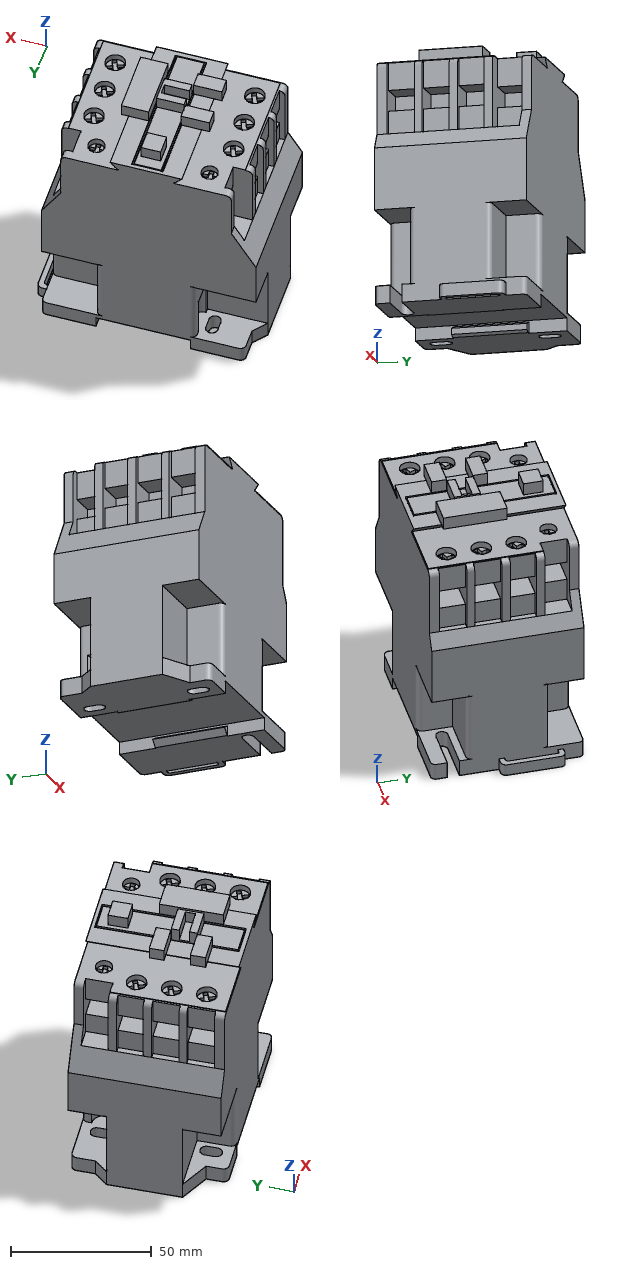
import cadquery as cq
body_width = 79.9
body_depth = 56.0
total_height = 98.0
top_z = 89.8
rim_drop = 0.3
rim_z = top_z - rim_drop
rim_front = 0.3
plate_left = 8.1
plate_right = 74.0

upper_left = 5.4
upper_right = 76.5
middle_x = (upper_left + upper_right) / 2
slope_top_z = 62.9
left_slope_z = 53.7
right_slope_z = 57.2
left_slope = (slope_top_z - left_slope_z) / upper_left
right_slope = (slope_top_z - right_slope_z) / (body_width - upper_right)
shoulder_radius = 2.2

back_rib_inset = 3.8
back_rib_front = 52.4

cell_spans = [(3.7, 13.8), (16.7, 26.7), (29.8, 39.4), (42.5, back_rib_front)]
cell_depth = 2.1
deep_cell_depth = 7.3
opening_bottom = 71.7
opening_top = 79.4
opening_depth = 9.8

main_screw_offset = 26.0
main_screw_places = [8.7, 21.6, 34.4]
main_screw_diameter = 7.3
main_screw_turn = 23
coil_screw_offset = 21.1
coil_screw_y = 47.4
coil_screw_diameter = 6.1
screw_well_depth = 2.5
cross_width = 1.7
cross_depth = 1.5
cross_share = 0.9

rail_top = 93.1
rail_half_width = 13.3
rail_neck_half_width = 10.4
panel_width = 11.6
panel_front = 1.9
panel_back = 54.5
groove_side_width = 0.7
groove_end_width = 0.4
groove_depth = 1.0
button_length = 10.6
button_left = 24.7
button_right = 46.8
long_button_length = 10.2
button_spans = [(11.5, 17.1), (26.7, 32.0)]
long_button_span = (10.2, 33.6)
bracket_width = 10.2
bracket_span = (17.1, 26.7)
bracket_wall = 2.9
bracket_back_wall = 0.9
square_button = 7.3
square_button_y = 46.5

notch_top = 34.5
notch_depth = 14.1
right_notch_depth = 12.9
foot_height = 6.6
din_left = 24.4
din_right = 59.6
din_height = 4.7
left_edge_radius = 2.0
right_edge_radius = 2.3
corner_radius = 1.9
foot_radius = 2.2
front_foot_step = 10.8
front_foot_face = 8.0
back_foot_step = 4.3
back_foot_face = 9.0
slot_width = 4.4
slot_y = 7.9
left_slot_x = 18.3
left_slot_length = 8.0
right_slot_x = 63.7
relief_diameter = 9.1
relief_top = 22.9

loop_front = 24.7
loop_back = 48.4
loop_right = 84.0
loop_bar = 2.1
loop_root = 5.9
hook_front = notch_depth
hook_back = body_depth - notch_depth

OVERCUT = 1.0


def box(x0, x1, y0, y1, z0, z1):
    """Box between pairs of opposite faces."""
    return cq.Workplane("XY").box(x1 - x0, y1 - y0, z1 - z0, centered=False).translate((x0, y0, z0))


def along_depth(profile, y0, y1):
    """Extrude a profile drawn on the XZ plane from y0 back to y1."""
    return profile.extrude(-(y1 - y0)).translate((0, y0, 0))


def to_back(solid):
    """Mirror a solid from the front half to the back half."""
    return solid.mirror("XZ").translate((0, body_depth, 0))


def to_right(solid):
    """Mirror a solid about the middle plane of the upper part."""
    return solid.mirror("YZ").translate((2 * middle_x, 0, 0))


def housing_slice(inset, shoulder_z, y0, y1):
    """Stretch of the housing whose upper sides stand inset from the outer ribs."""
    left = upper_left + inset
    right = upper_right - inset
    profile = (
        cq.Workplane("XZ")
        .moveTo(0, 0)
        .lineTo(0, left_slope_z)
        .lineTo(left, left_slope_z + left_slope * left)
        .lineTo(left, shoulder_z - shoulder_radius)
        .radiusArc((left + shoulder_radius, shoulder_z), shoulder_radius)
        .lineTo(right - shoulder_radius, shoulder_z)
        .radiusArc((right, shoulder_z - shoulder_radius), shoulder_radius)
        .lineTo(right, right_slope_z + right_slope * (body_width - right))
        .lineTo(body_width, right_slope_z)
        .lineTo(body_width, 0)
        .close()
    )
    return along_depth(profile, y0, y1)


def housing():
    """Housing with its outer ribs, the inset back ribs and the raised top plate."""
    front = housing_slice(0, rim_z, 0, back_rib_front)
    back = housing_slice(back_rib_inset, top_z, back_rib_front, body_depth)
    plate = box(plate_left, plate_right, rim_front, back_rib_front, slope_top_z, top_z)
    return front.union(back).union(plate)


def terminal_cells():
    """Cells on the left side, each with a wire opening in its wall."""
    cells = cq.Workplane("XY")
    for front, back in cell_spans:
        depth = deep_cell_depth if back == back_rib_front else cell_depth
        wall = upper_left + depth
        cells = cells.union(box(upper_left, wall, front, back, slope_top_z, top_z))
        cells = cells.union(box(upper_left, wall + opening_depth, front, back, opening_bottom, opening_top))
    return cells


def screw_well(x, y, diameter, turn):
    """Round well with a cross slot sunk in the screw head at its bottom."""
    well = cq.Workplane("XY").circle(diameter / 2).extrude(screw_well_depth + OVERCUT)
    length = diameter * cross_share
    for angle in (turn, turn + 90):
        arm = cq.Workplane("XY").rect(length, cross_width).extrude(-cross_depth)
        well = well.union(arm.rotate((0, 0, 0), (0, 0, 1), angle))
    return well.translate((x, y, top_z - screw_well_depth))


def screw_wells():
    """One coil screw and a row of main screws on each side."""
    wells = cq.Workplane("XY")
    for side in (-1, 1):
        coil_x = middle_x + side * coil_screw_offset
        wells = wells.union(screw_well(coil_x, coil_screw_y, coil_screw_diameter, 0))
        for y in main_screw_places:
            main_x = middle_x + side * main_screw_offset
            wells = wells.union(screw_well(main_x, y, main_screw_diameter, main_screw_turn))
    return wells


def dovetail_rail():
    """Dovetail rail along the top, with a narrow groove around its panel."""
    profile = cq.Workplane("XZ").polyline([
        (middle_x - rail_neck_half_width, rim_z),
        (middle_x - rail_neck_half_width, top_z),
        (middle_x - rail_half_width, rail_top),
        (middle_x + rail_half_width, rail_top),
        (middle_x + rail_neck_half_width, top_z),
        (middle_x + rail_neck_half_width, rim_z),
    ]).close()
    rail = along_depth(profile, 0, body_depth)
    panel_length = panel_back - panel_front
    groove = (
        cq.Workplane("XY", origin=(middle_x, (panel_front + panel_back) / 2, rail_top - groove_depth))
        .rect(panel_width, panel_length)
        .rect(panel_width - 2 * groove_side_width, panel_length - 2 * groove_end_width)
        .extrude(groove_depth)
    )
    return rail.cut(groove)


def button(x, length, span):
    """Raised block on the rail, starting at x and covering a span of the depth."""
    return box(x, x + length, span[0], span[1], rail_top, total_height)


def buttons():
    """Long right button, two left buttons, a square button and a slotted bracket."""
    blocks = button(button_right, long_button_length, long_button_span)
    for span in button_spans:
        blocks = blocks.union(button(button_left, button_length, span))
    half = square_button / 2
    square_span = (square_button_y - half, square_button_y + half)
    blocks = blocks.union(button(middle_x - half, square_button, square_span))
    bracket_left = middle_x - bracket_width / 2
    bracket_slot_span = (bracket_span[0] + bracket_wall, bracket_span[1] - bracket_wall)
    bracket = button(bracket_left, bracket_width, bracket_span)
    bracket = bracket.cut(button(bracket_left, bracket_width - bracket_back_wall, bracket_slot_span))
    return blocks.union(bracket)


def left_notch():
    """Front left corner notch with a rounded edge at the front face."""
    return (
        cq.Workplane("XY")
        .moveTo(0, 0)
        .lineTo(din_left, 0)
        .radiusArc((din_left - left_edge_radius, left_edge_radius), left_edge_radius)
        .lineTo(din_left - left_edge_radius, notch_depth)
        .lineTo(0, notch_depth)
        .close()
        .extrude(notch_top)
    )


def right_notch():
    """Front right corner notch; the housing edge behind it is rounded too."""
    wall = din_right
    return (
        cq.Workplane("XY")
        .moveTo(body_width, 0)
        .lineTo(wall - right_edge_radius, 0)
        .radiusArc((wall, right_edge_radius), -right_edge_radius)
        .lineTo(wall, right_notch_depth)
        .lineTo(body_width - corner_radius, right_notch_depth)
        .radiusArc((body_width, right_notch_depth + corner_radius), -corner_radius)
        .close()
        .extrude(notch_top)
    )


def left_foot(step, face):
    """Slotted foot in the front left notch: a slanted edge ends at (step, face)."""
    plate = (
        cq.Workplane("XY")
        .moveTo(0, notch_depth)
        .lineTo(step, face)
        .lineTo(step, foot_radius)
        .radiusArc((step + foot_radius, 0), -foot_radius)
        .lineTo(din_left, 0)
        .lineTo(din_left, notch_depth)
        .close()
        .extrude(foot_height)
    )
    slot = (
        cq.Workplane("XY")
        .center(left_slot_x, slot_y)
        .slot2D(left_slot_length, slot_width, 90)
        .extrude(foot_height)
    )
    return plate.cut(slot)


def right_foot():
    """Solid foot filling the bottom of the front right notch."""
    foot_back = right_notch_depth + corner_radius
    foot = box(din_right - right_edge_radius, body_width, 0, foot_back, 0, foot_height)
    return foot.edges("|Z and >X and <Y").fillet(corner_radius)


def open_slot():
    """Slot in the front right foot, open at the side."""
    half = slot_width / 2
    end = cq.Workplane("XY").center(right_slot_x, slot_y).circle(half).extrude(foot_height)
    return end.union(box(right_slot_x, body_width, slot_y - half, slot_y + half, 0, foot_height))


def screw_relief():
    """Round relief in the back left notch wall, above the foot."""
    return (
        cq.Workplane("XY", origin=(din_left - left_edge_radius, body_depth - slot_y, foot_height))
        .circle(relief_diameter / 2)
        .extrude(relief_top - foot_height)
    )


def rail_hooks():
    """Blunt fixed hook on the left of the channel and pointed latch on the right."""
    fixed = cq.Workplane("XZ").polyline([
        (din_left, 0), (25.5, 0), (27.0, 0.8), (27.0, 3.0), (din_left, 4.2),
    ]).close()
    latch = cq.Workplane("XZ").polyline([
        (din_right, 0), (59.1, 0), (56.6, 2.3), (din_right, 3.9),
    ]).close()
    return along_depth(fixed, hook_front, hook_back).union(along_depth(latch, hook_front, hook_back))


def latch_loop():
    """Rounded pull loop rooted in the right side of the base."""
    root = body_width - loop_root
    loop = box(root, loop_right, loop_front, loop_back, 0, din_height)
    loop = loop.edges("|Z and >X").fillet(loop_bar)
    window = box(body_width, loop_right - loop_bar, loop_front + loop_bar, loop_back - loop_bar, 0, din_height)
    return loop.cut(window.edges("|Z and >X").fillet(loop_bar / 2))


left_cells = terminal_cells()
result = housing().cut(left_cells).cut(to_right(left_cells)).cut(screw_wells())
result = result.union(dovetail_rail()).union(buttons())
for notch in (left_notch(), right_notch()):
    result = result.cut(notch).cut(to_back(notch))
result = result.cut(screw_relief())
result = result.union(left_foot(front_foot_step, front_foot_face))
result = result.union(to_back(left_foot(back_foot_step, back_foot_face)))
result = result.union(right_foot()).union(to_back(right_foot())).cut(open_slot())
result = result.cut(box(din_left, din_right, 0, body_depth, 0, din_height))
result = result.union(rail_hooks()).union(latch_loop())